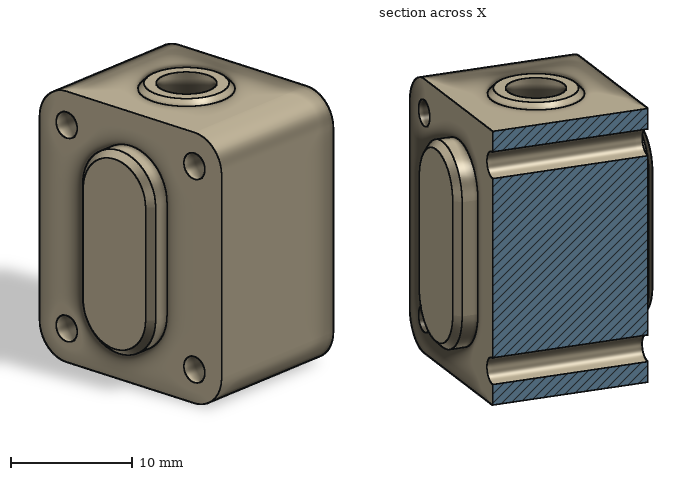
import cadquery as cq

block_width = 20.0
block_depth = 14.0
total_height = 24.5
corner_radius = 3.0

port_height = 0.5
port_diameter = 8.0
port_taper = 0.5
bore_diameter = 5.0

pad_width = port_diameter
pad_length = 18.0
pad_height = 2.0
pad_chamfer = 0.6

mount_hole_diameter = 2.3

block_height = total_height - port_height
mount_spacing_x = block_width - 2 * corner_radius
mount_spacing_z = block_height - 2 * corner_radius


def make_block():
    """Rectangular block with its four edges along Y rounded."""
    block = cq.Workplane("XY").box(block_width, block_depth, block_height, centered=(True, True, False))
    return block.edges("|Y").fillet(corner_radius)


def add_pad(body, face):
    """Raise a chamfered pad at the centre of the chosen face."""
    pad = (
        body.faces(face)
        .workplane(centerOption="CenterOfBoundBox")
        .slot2D(pad_length, pad_width, 90)
        .extrude(pad_height, combine=False)
        .faces(face)
        .chamfer(pad_chamfer)
    )
    return body.union(pad)


def make_port():
    """Short tapered boss around the bore."""
    base_radius = port_diameter / 2
    cone = cq.Solid.makeCone(
        base_radius,
        base_radius - port_taper,
        port_height,
        pnt=cq.Vector(0, 0, block_height),
    )
    return cq.Workplane(obj=cone)


body = make_block()

body = (
    body.faces("<Y")
    .workplane(centerOption="CenterOfBoundBox")
    .rect(mount_spacing_x, mount_spacing_z, forConstruction=True)
    .vertices()
    .hole(mount_hole_diameter)
)

for pad_face in ("<Y", ">Y"):
    body = add_pad(body, pad_face)

body = body.union(make_port())
result = body.faces(">Z").workplane(centerOption="CenterOfBoundBox").hole(bore_diameter)